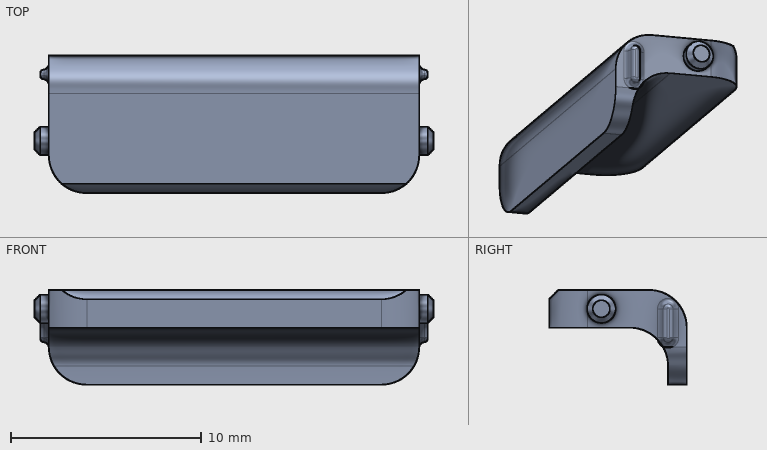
import cadquery as cq
import math

body_length = 19.5
body_depth = 7.25
body_height = 5.0
plate_thickness = 2.0
wall_thickness = 1.0
bend_radius = 2.0
corner_radius = 2.0
front_chamfer = 0.5
end_x = body_length / 2

pin_radius = 0.75
pin_length = 0.75
pin_chamfer = 0.3
pin_y = -4.5
pin_z = -plate_thickness / 2

bead_y = -1.0
bead_top_z = -1.0
bead_run = 1.5
bead_height = 0.45
crest_half_flat = 0.06
crest_radius = 0.2
root_radius = 0.3


def bent_section():
    """Side profile of plate and wall, extruded over the body length."""
    mid_arc = bend_radius * (1 - math.sqrt(0.5))
    outer_mid = (-mid_arc, -mid_arc)
    inner_mid = (-wall_thickness - mid_arc, -plate_thickness - mid_arc)
    return (
        cq.Workplane("YZ", origin=(-end_x, 0, 0))
        .moveTo(0, -body_height)
        .lineTo(0, -bend_radius)
        .threePointArc(outer_mid, (-bend_radius, 0))
        .lineTo(-body_depth + front_chamfer, 0)
        .lineTo(-body_depth, -front_chamfer)
        .lineTo(-body_depth, -plate_thickness)
        .lineTo(-wall_thickness - bend_radius, -plate_thickness)
        .threePointArc(inner_mid, (-wall_thickness, -plate_thickness - bend_radius))
        .lineTo(-wall_thickness, -body_height)
        .close()
        .extrude(body_length)
    )


def rounded_envelope(edge_direction, corner_side):
    """Body-sized block with two corners rounded on one side."""
    return (
        cq.Workplane("XY")
        .box(body_length, body_depth, body_height)
        .translate((0, -body_depth / 2, -body_height / 2))
        .faces(corner_side)
        .edges(edge_direction)
        .fillet(corner_radius)
    )


def make_body():
    front_rounded = rounded_envelope("|Z", "<Y")
    bottom_rounded = rounded_envelope("|Y", "<Z")
    return bent_section().intersect(front_rounded).intersect(bottom_rounded)


def make_pin():
    """Pin on the +X end, with a chamfered tip."""
    return (
        cq.Workplane("YZ", origin=(end_x, pin_y, pin_z))
        .circle(pin_radius)
        .extrude(pin_length)
        .faces(">X")
        .chamfer(pin_chamfer)
    )


def bead_half_profile():
    """Half cross-section of the bead on the +X end, in a horizontal plane.

    The convex crest arc and the concave root arc are tangent to each other,
    and the root arc runs out tangent to the end face.
    """
    crest_center_x = bead_height - crest_radius
    center_distance = crest_radius + root_radius
    rise = root_radius - crest_center_x
    root_offset = math.sqrt(center_distance**2 - rise**2)
    root_y = crest_half_flat + root_offset
    lean = math.atan2(rise, root_offset)

    def crest_point(angle):
        return (
            crest_center_x + crest_radius * math.sin(angle),
            crest_half_flat + crest_radius * math.cos(angle),
        )

    def root_point(angle):
        return (
            root_radius - root_radius * math.sin(angle),
            root_y - root_radius * math.cos(angle),
        )

    crest_mid = crest_point((lean + math.pi / 2) / 2)
    root_mid = root_point((lean + math.pi / 2) / 2)
    return (
        cq.Workplane("XY", origin=(end_x, bead_y, bead_top_z))
        .moveTo(0, 0)
        .lineTo(bead_height, 0)
        .lineTo(bead_height, crest_half_flat)
        .threePointArc(crest_mid, crest_point(lean))
        .threePointArc(root_mid, (0, root_y))
        .close()
    )


def make_bead():
    """Bead on the +X end: a straight run with a half-revolved round end above and below."""
    half_run = bead_half_profile().extrude(-bead_run)
    other_half_run = half_run.mirror("XZ", (0, bead_y, 0))
    upper_end = bead_half_profile().revolve(180, (0, 0, 0), (1, 0, 0))
    lower_end = upper_end.mirror("XY", (0, 0, bead_top_z - bead_run / 2))
    return half_run.union(other_half_run).union(upper_end).union(lower_end)


result = make_body()
for end_feature in (make_pin(), make_bead()):
    result = result.union(end_feature).union(end_feature.mirror("YZ"))